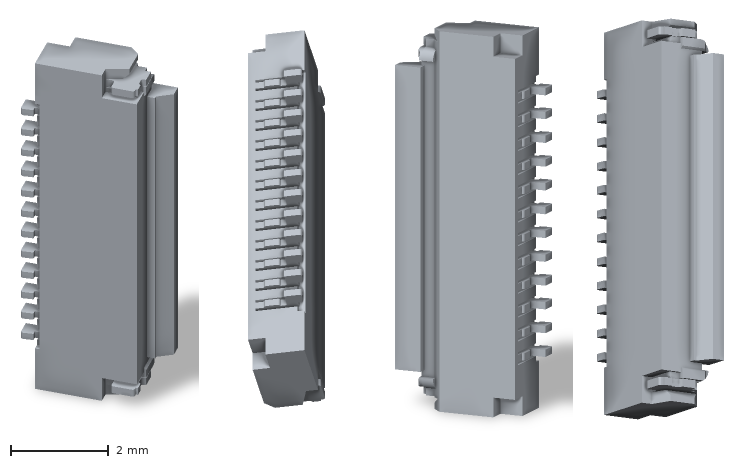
import cadquery as cq


length = 8.0
half_length = length / 2
body_height = 1.18
end_reach = 1.9
middle_reach = 2.19
middle_half = 3.44
end_chamfer = (0.21, 0.19)
end_bevel_start = body_height - end_chamfer[1]
recess_x = 1.44
recess_roof = 0.25
end_slope_top = 0.41
lug_tip = 0.13
lug_bevel = 0.13
shelf_bevel = 0.04

corner_step = (0.49, 0.36, 0.42)

fitting_outer = 3.75
fitting_inner = 3.58
fitting_foot = -0.02
fitting_leg_x = 1.64
bend_radius = 0.05
fitting_reach = 2.24

pivot_start = 1.86
pivot_front = 0.48
pivot_rear = 1.15
pivot_ridge = 0.91
pivot_corner = 0.06
pivot_base = 3.34
pivot_ear_drop = 0.02
pivot_bevel = 0.05

actuator_half = 3.2
actuator_start = 2.12
actuator_reach = 2.69
actuator_rear = 1.2
actuator_front = 0.68
actuator_flat_x = 2.37
actuator_slope_start = 0.74
actuator_slope_end = 0.94

contact_count = 12
contact_pitch = 0.5
contact_width = 0.15
contact_depth = 0.32
tail_reach = 0.31
tail_height = 0.36
tail_radius = 0.06
tail_fillet = 0.04
heel_lift = 0.02
heel_top = 0.12
bump_reach = 0.05
bump_bottom = 0.5
bump_top = 0.84
slot_mouth = 0.27
slot_depth = 0.19
slot_bottom = 0.14
slot_top = 1.02
tail_notch = (0.1, slot_bottom, 6.02)


def prism(points, low, high):
    """Extrude an XY outline between two Z levels."""
    return cq.Workplane("XY").workplane(offset=low).polyline(points).close().extrude(high - low)


def block(x, y, z):
    """Box between pairs of limits."""
    size = (x[1] - x[0], y[1] - y[0], z[1] - z[0])
    return cq.Workplane("XY").box(*size, centered=False).translate((x[0], y[0], z[0]))


def both_ends(shape):
    """The shape together with its mirror image at the other end."""
    return shape.union(shape.mirror("XY"))


def make_housing():
    end_outline = [
        (0, 0),
        (recess_x, 0),
        (recess_x, recess_roof),
        (end_reach, end_slope_top),
        (end_reach, end_bevel_start),
        (end_reach - end_chamfer[0], body_height),
        (0, body_height),
    ]
    housing = prism(end_outline, -half_length, half_length)

    lug_bevel_cut = (
        cq.Workplane("XZ")
        .polyline([
            (end_reach, half_length - lug_tip),
            (end_reach - lug_bevel, fitting_outer),
            (end_reach, fitting_outer),
        ])
        .close()
        .extrude(-body_height)
    )
    housing = housing.cut(both_ends(lug_bevel_cut))

    middle = block((recess_x, middle_reach), (0, end_bevel_start), (-middle_half, middle_half))
    shelf = block(
        (recess_x, actuator_start),
        (recess_roof, pivot_ridge),
        (middle_half, fitting_inner),
    )
    shelf = shelf.faces(">Z").edges("<Y").chamfer(shelf_bevel)
    step = block(
        (0, corner_step[0]),
        (body_height - corner_step[1], body_height),
        (half_length - corner_step[2], half_length),
    )
    return housing.union(middle).union(both_ends(shelf)).cut(both_ends(step))


def make_fitting():
    notch_x = 2.14
    tooth_bottom = 0.08
    tooth_top = 0.26
    upper_notch_bottom = 0.29
    upper_notch_top = 0.46
    shoulder = 0.79
    outline = [
        (recess_x, recess_roof),
        (fitting_leg_x, recess_roof),
        (fitting_leg_x, fitting_foot),
        (notch_x, fitting_foot),
        (notch_x, tooth_bottom),
        (middle_reach, tooth_bottom),
        (middle_reach, tooth_top),
        (notch_x, upper_notch_bottom),
        (notch_x, upper_notch_top),
        (fitting_reach, pivot_front),
        (fitting_reach, shoulder),
        (actuator_start, shoulder),
        (actuator_start, pivot_ridge),
        (recess_x, pivot_ridge),
    ]
    fitting = prism(outline, fitting_inner, fitting_outer)
    middle_z = (fitting_inner + fitting_outer) / 2
    bends = [(fitting_leg_x, recess_roof), (fitting_leg_x, fitting_foot), (notch_x, fitting_foot)]
    for corner in bends:
        corner_edge = cq.selectors.NearestToPointSelector((*corner, middle_z))
        fitting = fitting.edges("|Z").edges(corner_edge).fillet(bend_radius)
    return fitting


def make_pivot():
    """Block under the fitting whose rear part curves down towards the middle."""
    outline = [
        (pivot_start, pivot_front),
        (fitting_reach, pivot_front),
        (fitting_reach, pivot_rear - 2 * pivot_corner),
        (fitting_reach - pivot_corner, pivot_rear - pivot_corner),
        (fitting_reach - pivot_corner, pivot_rear),
        (pivot_start, pivot_rear),
    ]
    pivot = prism(outline, pivot_base + pivot_ear_drop, fitting_inner)
    pivot = pivot.faces("<Z").edges(">X").chamfer(pivot_bevel)
    round_radius = pivot_rear - pivot_ridge
    round_cut = (
        cq.Workplane("YZ")
        .moveTo(pivot_ridge, fitting_inner)
        .radiusArc((pivot_rear, fitting_inner - round_radius), round_radius)
        .lineTo(pivot_rear, fitting_inner)
        .close()
        .extrude(fitting_reach)
    )
    pivot = pivot.cut(round_cut)
    lowered = pivot.translate((0, 0, -pivot_ear_drop))
    ear_space = block((actuator_start, fitting_reach), (0, pivot_rear), (pivot_base, fitting_inner))
    return pivot.cut(ear_space).union(lowered)


def make_actuator():
    outline = [
        (actuator_start, actuator_front),
        (actuator_flat_x, actuator_front),
        (actuator_flat_x, actuator_slope_start),
        (actuator_reach, actuator_slope_end),
        (actuator_reach, actuator_rear),
        (actuator_start, actuator_rear),
    ]
    return prism(outline, -actuator_half, actuator_half)


def make_slot():
    """Pocket that tapers from the housing face down to the contact width."""
    profile = [
        (0, -slot_mouth / 2),
        (slot_depth, -contact_width / 2),
        (slot_depth, contact_width / 2),
        (0, slot_mouth / 2),
    ]
    slot = cq.Workplane("XZ").workplane(offset=-slot_bottom).polyline(profile).close()
    return slot.extrude(slot_bottom - slot_top)


def make_contact():
    outline = (
        cq.Workplane("XY")
        .workplane(offset=-contact_width / 2)
        .moveTo(contact_depth, heel_top)
        .lineTo(-tail_fillet, heel_top)
        .lineTo(-tail_fillet, heel_lift)
        .lineTo(tail_radius - tail_reach, 0)
        .radiusArc((-tail_reach, tail_radius), tail_radius)
        .lineTo(-tail_reach, tail_height)
        .lineTo(-tail_fillet, tail_height)
        .radiusArc((0, tail_height + tail_fillet), -tail_fillet)
        .lineTo(0, bump_bottom)
        .radiusArc((-bump_reach, bump_bottom + bump_reach), bump_reach)
        .lineTo(-bump_reach, bump_top - bump_reach)
        .radiusArc((0, bump_top), bump_reach)
        .lineTo(0, slot_top)
        .lineTo(contact_depth, slot_top)
        .close()
    )
    return outline.extrude(contact_width)


result = make_housing()
result = result.union(both_ends(make_fitting())).union(both_ends(make_pivot()))
result = result.union(make_actuator())

notch_half = tail_notch[2] / 2
result = result.cut(block((0, tail_notch[0]), (0, tail_notch[1]), (-notch_half, notch_half)))

for index in range(contact_count):
    contact_z = (index - (contact_count - 1) / 2) * contact_pitch
    result = result.cut(make_slot().translate((0, 0, contact_z)))
    result = result.union(make_contact().translate((0, 0, contact_z)))